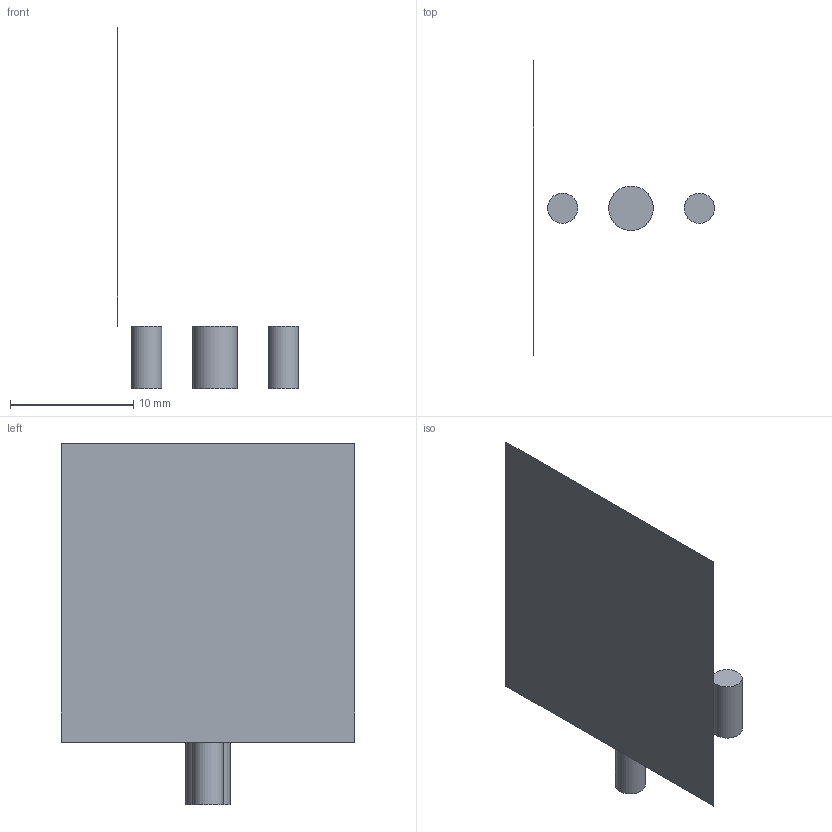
import cadquery as cq

pin_length = 5.08
outer_pin_diameter = 2.44
centre_pin_diameter = 3.61
pin_pitch = 5.55

overall_length = 14.68
overall_height = 29.31
sheet_width = 23.83
sheet_thickness = 0.01
sheet_height = overall_height - pin_length
sheet_outer_x = pin_pitch + outer_pin_diameter / 2 - overall_length


def make_pin(diameter, x):
    """Upright round pin with its foot on Z = 0."""
    return cq.Workplane("XY").center(x, 0).circle(diameter / 2).extrude(pin_length)


def make_sheet():
    """Flat rectangular sheet standing across the row of pins."""
    return (
        cq.Workplane("XY")
        .box(sheet_thickness, sheet_width, sheet_height, centered=(False, True, False))
        .translate((sheet_outer_x, 0, pin_length))
    )


sheet = make_sheet()
centre_pin = make_pin(centre_pin_diameter, 0)
outer_pins = [make_pin(outer_pin_diameter, side * pin_pitch) for side in (-1, 1)]

result = cq.Compound.makeCompound(
    [sheet.val(), centre_pin.val()] + [pin.val() for pin in outer_pins]
)